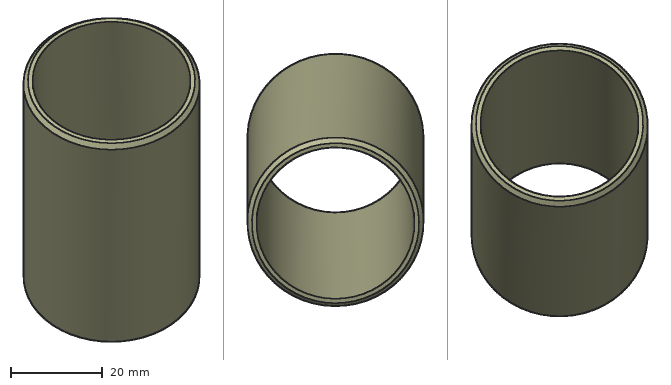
import cadquery as cq

outer_diameter = 38.4
bore_diameter = 34.4
length = 65.0
chamfer_size = 1.0


def tube():
    """Plain tube standing on the XY plane, centred on the Z axis."""
    body = cq.Workplane("XY").circle(outer_diameter / 2)
    return body.circle(bore_diameter / 2).extrude(length)


def chamfer_outer_rims(body):
    """Bevel the outer edge at both ends, leaving the bore edges sharp."""
    rim_radius = outer_diameter / 2
    end_edges = body.faces("<Z or >Z").edges()
    outer_rims = end_edges.filter(lambda edge: edge.radius() > rim_radius - chamfer_size)
    return outer_rims.chamfer(chamfer_size)


result = chamfer_outer_rims(tube())